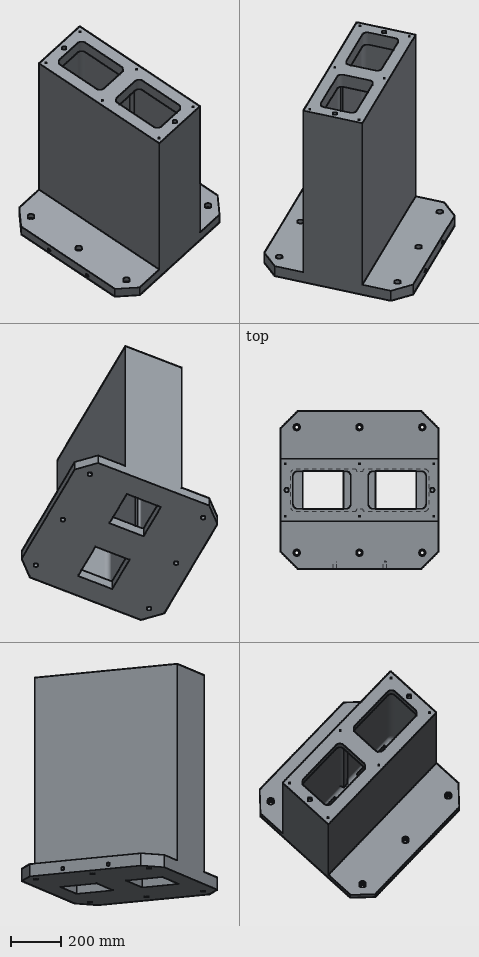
import cadquery as cq
import math

base_side = 630.0
base_height = 50.0
corner_cut = 70.0

total_height = 850.0
column_depth = 250.0

mouth_inner_x = 35.0
mouth_outer_x = 265.0
mouth_depth = 150.5
top_wall = 60.0
corner_radius = 20.0

undercut = 10.0
chamber_width = 2 * (mouth_outer_x + undercut)
chamber_depth = mouth_depth + 2 * undercut
chamber_top = total_height - top_wall

rib_width = 24.0

opening_inner_x = 65.0
opening_outer_x = 225.0

mount_spacing = 250.0
mount_diameter = 18.0
mount_counterbore = 26.0
mount_counterbore_depth = 25.5

drill_point_angle = 118.0

edge_hole_diameter = 14.0
edge_hole_x = 100.0
edge_hole_z = 19.0
edge_hole_depth = 30.0

lift_hole_diameter = 18.0
lift_hole_x = 290.0
lift_hole_depth = 30.0

pin_hole_diameter = 5.0
pin_hole_x = 296.0
pin_hole_y = 104.5
pin_hole_depth = 13.0


def block(x_min, x_max, depth, z_min, z_max):
    """Box centred on Y, between the given X and Z limits."""
    centre = ((x_min + x_max) / 2, 0, z_min)
    return cq.Workplane("XY", origin=centre).rect(x_max - x_min, depth).extrude(z_max - z_min)


def mirrored(solid):
    """The solid together with its mirror image across X = 0."""
    return solid.union(solid.mirror("YZ"))


def blind_holes(plane, points, diameter, depth):
    """Flat-bottomed holes sunk against the normal of the given plane."""
    return cq.Workplane(plane).pushPoints(points).circle(diameter / 2).extrude(-depth)


def drilled_hole(diameter, depth):
    """Hole going down from the origin, its cylinder ending in a drill point."""
    radius = diameter / 2
    point_length = radius / math.tan(math.radians(drill_point_angle / 2))
    return (
        cq.Workplane("XZ")
        .lineTo(radius, 0)
        .lineTo(radius, -depth)
        .lineTo(0, -depth - point_length)
        .close()
        .revolve(360, (0, 0, 0), (0, 1, 0))
    )


def make_body():
    base = block(-base_side / 2, base_side / 2, base_side, 0, base_height)
    base = base.edges("|Z").chamfer(corner_cut)
    column = block(-base_side / 2, base_side / 2, column_depth, 0, total_height)
    return base.union(column)


def make_rib():
    """Rib on the back wall, meeting it in a concave quarter round on both sides."""
    half_rib = rib_width / 2
    root_x = half_rib + undercut
    wall_y = chamber_depth / 2
    face_y = wall_y - undercut
    arc_reach = undercut * math.sqrt(0.5)
    arc_mid_x = root_x - arc_reach
    arc_mid_y = face_y + arc_reach
    return (
        cq.Workplane("XY", origin=(0, 0, base_height))
        .moveTo(-half_rib, face_y)
        .lineTo(half_rib, face_y)
        .threePointArc((arc_mid_x, arc_mid_y), (root_x, wall_y))
        .lineTo(-root_x, wall_y)
        .threePointArc((-arc_mid_x, arc_mid_y), (-half_rib, face_y))
        .close()
        .extrude(chamber_top - base_height)
    )


def make_chamber():
    """Hollow of the column, with rounded corners and floor, less the two ribs."""
    chamber = block(-chamber_width / 2, chamber_width / 2, chamber_depth, base_height, chamber_top)
    chamber = chamber.edges("|Z or <Z").fillet(corner_radius)
    rib = make_rib()
    return chamber.cut(rib).cut(rib.mirror("XZ"))


def make_mouths():
    mouth = block(mouth_inner_x, mouth_outer_x, mouth_depth, chamber_top, total_height)
    return mirrored(mouth.edges("|Z").fillet(corner_radius))


def make_floor_openings():
    opening_top = base_height + corner_radius
    return mirrored(block(opening_inner_x, opening_outer_x, mouth_depth, 0, opening_top))


def make_mount_holes():
    points = [(i * mount_spacing, j * mount_spacing) for i in (-1, 0, 1) for j in (-1, 1)]
    base_top = cq.Plane.XY((0, 0, base_height))
    shanks = blind_holes(base_top, points, mount_diameter, base_height)
    heads = blind_holes(base_top, points, mount_counterbore, mount_counterbore_depth)
    return shanks.union(heads)


def make_edge_holes():
    hole = drilled_hole(edge_hole_diameter, edge_hole_depth)
    hole = hole.rotate((0, 0, 0), (1, 0, 0), 90)
    return mirrored(hole.translate((edge_hole_x, -base_side / 2, edge_hole_z)))


def make_lift_holes():
    hole = drilled_hole(lift_hole_diameter, lift_hole_depth)
    return mirrored(hole.translate((lift_hole_x, 0, total_height)))


def make_pin_holes():
    points = [(i * pin_hole_x, j * pin_hole_y) for i in (-1, 0, 1) for j in (-1, 1)]
    column_top = cq.Plane.XY((0, 0, total_height))
    return blind_holes(column_top, points, pin_hole_diameter, pin_hole_depth)


result = (
    make_body()
    .cut(make_chamber())
    .cut(make_mouths())
    .cut(make_floor_openings())
    .cut(make_mount_holes())
    .cut(make_edge_holes())
    .cut(make_lift_holes())
    .cut(make_pin_holes())
)